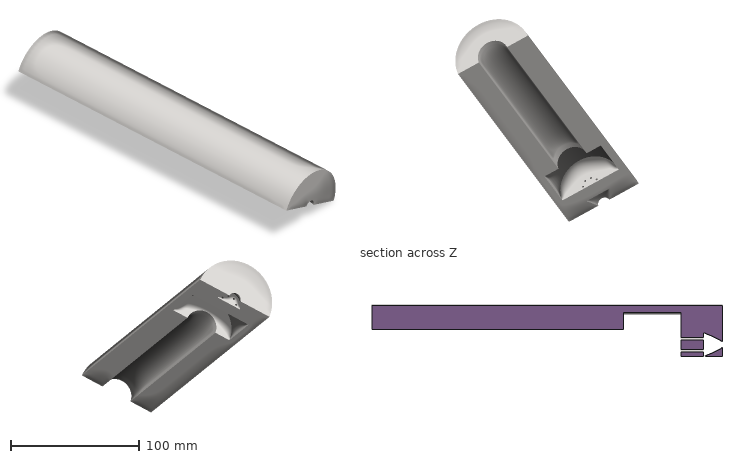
import cadquery as cq
import math

length = 273.7
outer_radius = 31.2
split_tilt = 23.0
split_offset = 0.5

bore_radius = 12.5
bore_length = 196.5
chamber_radius = 25.2
chamber_end = 240.8

nozzle_start = 259.2
nozzle_inlet_radius = 10.0
nozzle_outlet_radius = 5.0

jet_radius = 0.8
jet_circle_radius = 6.5
jet_spacing = 45.0
jet_count = 4


def cylinder(start, end, radius, y=0, z=0):
    """Cylinder parallel to X between two stations."""
    return cq.Workplane("YZ", origin=(start, y, z)).circle(radius).extrude(end - start)


nozzle_profile = [
    (nozzle_start, 0),
    (nozzle_start, nozzle_inlet_radius),
    (length, nozzle_outlet_radius),
    (length, 0),
]
nozzle = cq.Workplane("XY").polyline(nozzle_profile).close().revolve(360, (0, 0, 0), (1, 0, 0))

body = cylinder(0, length, outer_radius)
body = body.cut(cylinder(0, bore_length, bore_radius))
body = body.cut(cylinder(bore_length, chamber_end, chamber_radius))
body = body.cut(nozzle)

for index in range(jet_count):
    angle = math.radians(index * jet_spacing)
    jet_y = jet_circle_radius * math.cos(angle)
    jet_z = jet_circle_radius * math.sin(angle)
    body = body.cut(cylinder(chamber_end, nozzle_start, jet_radius, jet_y, jet_z))

keep_size = 4 * outer_radius
keep = (
    cq.Workplane("XY", origin=(0, 0, split_offset))
    .box(length, keep_size, keep_size, centered=(False, True, False))
    .rotate((0, 0, 0), (1, 0, 0), -split_tilt)
)
result = body.intersect(keep)